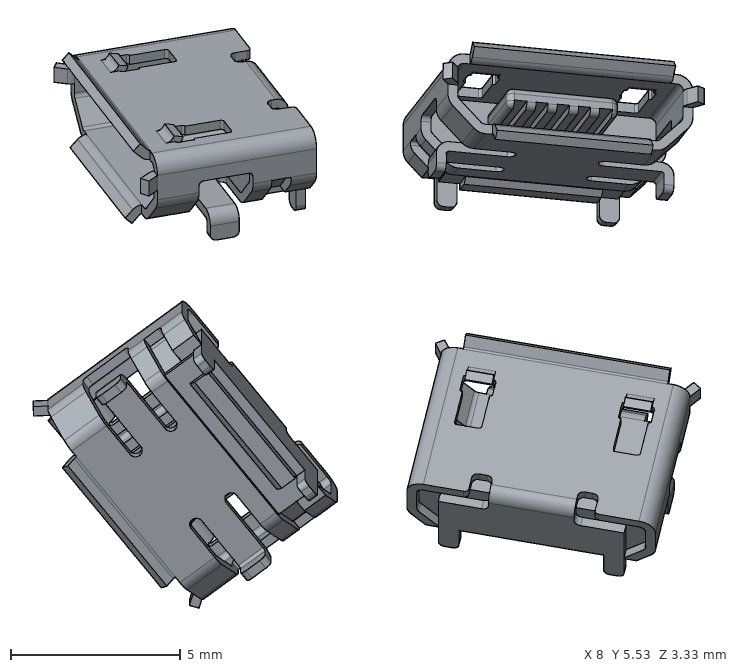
import cadquery as cq
import math


sheet = 0.3
shell_width = 7.5
shell_height = 2.45
shell_length = 5.0
bend_outer = 0.5
bend_inner = bend_outer - sheet
bend_tangent = math.tan(math.radians(22.5))
slope_side_z = 0.934
nearly_full = 0.999
half_width = shell_width / 2
roof_inside = shell_height - sheet

roof_flare_width = 6.16
roof_flare_rise = 0.28
roof_flare_start = 0.02
floor_flare_width = 4.77
floor_flare_rise = 0.267
lip_bend = 0.1
lip_angle = 45
side_flare_rise = 0.25
side_flare_height = 0.5
side_flare_top = shell_height - bend_outer
side_flare_bend = 0.02
side_flare_angle = 35.3

spring_x = 2.39
spring_width = 0.82
spring_root = 0.607
spring_radius = 0.265
spring_angle = 75
spring_slot_end = 2.70
spring_gap_start = 0.92
spring_gap_end = 1.50
spring_gap_width = 0.98
spring_gap_corner = 0.07
slot_corner = 0.1

window_start = 1.304
window_end = 3.0
window_top = 1.511
window_corner = 0.15
leg_start = 1.70
leg_end = 2.616
leg_outer_x = 3.636
leg_bend_inner = 0.1
leg_corner = 0.2
slot_end_x = 1.27
foot_z = -0.6

floor_end = 3.59
rear_wall_z = 0.36
recess_end = 4.207
recess_top = slope_side_z + bend_outer * bend_tangent
recess_corner = 0.1

neck_width = 2.58
neck_bend_inner = 0.1
neck_bend_outer = neck_bend_inner + sheet
notch_width = 0.613
notch_depth = 0.7
notch_corner = 0.18
notch_mouth_radius = 0.13
cover_width = 5.6
shoulder_z = 1.7
shoulder_fillet = 0.2
rear_leg_width = 0.62
rear_leg_corner = 0.2
cover_front = shell_length - sheet

tongue_width = 3.4
tongue_bottom = 1.242
tongue_top = 1.862
tongue_tip = 0.8
tongue_fillet = 0.2
groove_top = 1.46
contact_pitch = 0.65
contact_width = 0.28
contact_count = 4
base_width = 5.5
base_z = 0.165
foot_width = 4.2
foot_start = 4.02
foot_bottom = -0.03
foot_chamfer = 0.18


def box(x0, x1, y0, y1, z0, z1):
    """Block between the given limits."""
    size = (x1 - x0, y1 - y0, z1 - z0)
    return cq.Workplane("XY").box(*size, centered=False).translate((x0, y0, z0))


def both_sides(solid):
    """The solid together with its mirror image across the YZ plane."""
    return solid.union(solid.mirror("YZ"))


def polar(centre, radius, degrees):
    """Point at an angle on a circle."""
    angle = math.radians(degrees)
    return (centre[0] + radius * math.cos(angle), centre[1] + radius * math.sin(angle))


def shell_profile(inset, radius, start, end):
    """Prism of the shell's cross-section moved inwards, with rounded lengthwise edges."""
    half = half_width - inset
    low = inset
    high = shell_height - inset
    slope_shift = inset * bend_tangent
    side_z = slope_side_z + slope_shift
    floor_x = half - (side_z - low)
    outline = [
        (-half, high),
        (half, high),
        (half, side_z),
        (floor_x, low),
        (-floor_x, low),
        (-half, side_z),
    ]
    prism = cq.Workplane("XZ", origin=(0, start, 0)).polyline(outline).close().extrude(start - end)
    return prism.edges("|Y").fillet(radius)


def flare_section(plane, bend, angle, rise):
    """Closed section of a bent-out lip: local x points out of the mouth, local y away from the shell."""
    centre = (0, bend)
    outer = bend + sheet
    turn = math.radians(angle)
    near_end = polar(centre, bend, angle - 90)
    near_middle = polar(centre, bend, angle / 2 - 90)
    far_end = polar(centre, outer, angle - 90)
    far_middle = polar(centre, outer, angle / 2 - 90)
    tip = (near_end[0] + (rise - near_end[1]) / math.tan(turn), rise)
    far_tip = (tip[0] + sheet * math.sin(turn), tip[1] - sheet * math.cos(turn))
    section = plane.moveTo(0, 0).threePointArc(near_middle, near_end).lineTo(*tip).lineTo(*far_tip)
    return section.lineTo(*far_end).threePointArc(far_middle, (0, -sheet)).close()


def roof_flare():
    """Lip bent upwards along the roof's front edge."""
    plane = cq.Plane((-roof_flare_width / 2, roof_flare_start, shell_height), xDir=(0, -1, 0), normal=(-1, 0, 0))
    section = flare_section(cq.Workplane(plane), lip_bend, lip_angle, roof_flare_rise)
    return section.extrude(-roof_flare_width)


def floor_flare():
    """Lip bent downwards along the floor's front edge."""
    plane = cq.Plane((-floor_flare_width / 2, 0, 0), xDir=(0, -1, 0), normal=(1, 0, 0))
    section = flare_section(cq.Workplane(plane), lip_bend, lip_angle, floor_flare_rise)
    return section.extrude(floor_flare_width)


def side_flare():
    """Small ear bent outwards at the front of the side wall."""
    plane = cq.Plane((-half_width, 0, side_flare_top), xDir=(0, -1, 0), normal=(0, 0, -1))
    section = flare_section(cq.Workplane(plane), side_flare_bend, side_flare_angle, side_flare_rise)
    return section.extrude(side_flare_height)


def spring_slot():
    """Opening in the roof around one spring finger."""
    left = -spring_x - spring_width / 2
    slot = box(left, left + spring_width, spring_root, spring_slot_end, roof_inside, shell_height)
    slot = slot.edges("|Z and >Y").fillet(slot_corner)
    gap_left = -spring_x - spring_gap_width / 2
    gap_right = gap_left + spring_gap_width
    gap = box(gap_left, gap_right, spring_gap_start, spring_gap_end, roof_inside, shell_height)
    gap = gap.edges("|Z").fillet(spring_gap_corner)
    return slot.union(gap)


def spring():
    """Finger curling upwards about an axis along X above the roof."""
    centre = (spring_root, shell_height + spring_radius)
    outer = spring_radius + sheet
    end = spring_angle - 90
    middle = spring_angle / 2 - 90
    section = (
        cq.Workplane("YZ", origin=(-spring_x - spring_width / 2, 0, 0))
        .moveTo(*polar(centre, spring_radius, -90))
        .threePointArc(polar(centre, spring_radius, middle), polar(centre, spring_radius, end))
        .lineTo(*polar(centre, outer, end))
        .threePointArc(polar(centre, outer, middle), polar(centre, outer, -90))
        .close()
    )
    return section.extrude(spring_width)


def window():
    """Opening through the side, the sloping wall and the floor, with a slot on each side of the leg."""
    opening = box(-half_width, -half_width + bend_outer, window_start, window_end, 0, window_top)
    opening = opening.edges("|X and >Z").fillet(window_corner)
    for start, end in ((window_start, leg_start), (leg_end, window_end)):
        radius = (end - start) / 2
        slot = box(-half_width, -slot_end_x, start, end, 0, slope_side_z)
        opening = opening.union(slot.edges("|Z and >X").fillet(radius * nearly_full))
    above_leg = box(-half_width, -slot_end_x, leg_start, leg_end, sheet, slope_side_z)
    return opening.union(above_leg)


def leg():
    """Strip of the floor that runs outwards and bends down."""
    outline = [
        (-slot_end_x, 0),
        (-slot_end_x, sheet),
        (-leg_outer_x, sheet),
        (-leg_outer_x, foot_z),
        (-leg_outer_x + sheet, foot_z),
        (-leg_outer_x + sheet, 0),
    ]
    strip = cq.Workplane("XZ", origin=(0, leg_start, 0)).polyline(outline).close().extrude(leg_start - leg_end)
    strip = strip.edges("|Y and >Z and <X").fillet(leg_bend_inner + sheet)
    inner_bend = cq.selectors.NearestToPointSelector((-leg_outer_x + sheet, (leg_start + leg_end) / 2, 0))
    strip = strip.edges("|Y").edges(inner_bend).fillet(leg_bend_inner)
    return strip.edges("|X and <Z").fillet(leg_corner)


def rear_recess():
    """Cut-out in the sloping wall where the insulator shows."""
    recess = box(-half_width, 0, floor_end, recess_end, 0, recess_top)
    return recess.edges("|X and >Y and >Z").fillet(recess_corner)


def roof_notch():
    """Relief beside the neck of the rear cover, flared at the rear edge."""
    right = -neck_width / 2
    left = right - notch_width
    front = shell_length - notch_depth
    notch = box(left, right, front, shell_length, roof_inside, shell_height)
    notch = notch.edges("|Z and <Y").fillet(notch_corner)
    corner_x = left - notch_mouth_radius
    corner_y = shell_length - notch_mouth_radius
    mouth = box(corner_x, left, corner_y, shell_length, roof_inside, shell_height)
    rounding = cq.Workplane("XY", origin=(corner_x, corner_y, roof_inside)).circle(notch_mouth_radius).extrude(sheet)
    return notch.union(mouth.cut(rounding))


def cover_neck():
    """Bend that joins the roof to the rear cover."""
    centre = (shell_length - neck_bend_outer, shell_height - neck_bend_outer)
    section = (
        cq.Workplane("YZ", origin=(-neck_width / 2, 0, 0))
        .moveTo(centre[0], shell_height)
        .threePointArc(polar(centre, neck_bend_outer, 45), polar(centre, neck_bend_outer, 0))
        .lineTo(shell_length, shoulder_z)
        .lineTo(cover_front, shoulder_z)
        .lineTo(*polar(centre, neck_bend_inner, 0))
        .threePointArc(polar(centre, neck_bend_inner, 45), polar(centre, neck_bend_inner, 90))
        .close()
    )
    return section.extrude(neck_width)


def rear_cover():
    """Flat rear plate with a filleted neck and two legs."""
    half = cover_width / 2
    plate = box(-half, half, cover_front, shell_length, rear_wall_z, shoulder_z)
    neck_side = -neck_width / 2
    fillet_x = neck_side - shoulder_fillet
    fillet_z = shoulder_z + shoulder_fillet
    fillet_block = box(fillet_x, neck_side, cover_front, shell_length, shoulder_z, fillet_z)
    rounding = cq.Workplane("XZ", origin=(fillet_x, cover_front, fillet_z))
    rounding = rounding.circle(shoulder_fillet).extrude(-sheet)
    rear_leg = box(-half, -half + rear_leg_width, cover_front, shell_length, foot_z, shoulder_z)
    rear_leg = rear_leg.edges("|Y and <Z").fillet(rear_leg_corner)
    return plate.union(both_sides(fillet_block.cut(rounding))).union(both_sides(rear_leg))


def make_shell():
    """Tube with its openings cut and its flares, springs, legs and rear cover joined on."""
    tube = shell_profile(0, bend_outer, 0, shell_length)
    tube = tube.cut(shell_profile(sheet, bend_inner, 0, shell_length))
    tube = tube.cut(box(-half_width, half_width, floor_end, shell_length, 0, rear_wall_z))
    for opening in (window(), rear_recess(), spring_slot(), roof_notch()):
        tube = tube.cut(both_sides(opening))
    neck_start = shell_length - neck_bend_outer
    neck_space = box(-neck_width / 2, neck_width / 2, neck_start, shell_length, roof_inside, shell_height)
    tube = tube.cut(neck_space)
    for side_part in (side_flare(), spring(), leg()):
        tube = tube.union(both_sides(side_part))
    for middle_part in (roof_flare(), floor_flare(), cover_neck(), rear_cover()):
        tube = tube.union(middle_part)
    return tube


def make_tongue():
    """Rounded tongue, grooved underneath so that only the contact ribs reach its lower face."""
    half = tongue_width / 2
    tongue = box(-half, half, tongue_tip, window_end, tongue_bottom, tongue_top)
    tongue = tongue.edges("|Y").fillet(tongue_fillet)
    tongue = tongue.faces("<Y").edges().fillet(tongue_fillet * nearly_full)
    groove_half = half - tongue_fillet
    grooves = box(-groove_half, groove_half, tongue_tip, window_end, tongue_bottom, groove_top)
    for index in range(contact_count):
        centre = (index - (contact_count - 1) / 2) * contact_pitch
        left = centre - contact_width / 2
        grooves = grooves.cut(box(left, left + contact_width, tongue_tip, window_end, tongue_bottom, groove_top))
    return tongue.cut(grooves)


def make_insulator():
    """Block filling the rear of the shell, with the tongue in front and a foot below."""
    body = shell_profile(sheet, bend_inner, window_end, cover_front)
    body = body.union(box(-base_width / 2, base_width / 2, floor_end, cover_front, base_z, rear_wall_z))
    foot = box(-foot_width / 2, foot_width / 2, foot_start, cover_front, foot_bottom, base_z)
    foot = foot.edges("|X and <Y and <Z").chamfer(foot_chamfer)
    return body.union(foot).union(make_tongue()).cut(cover_neck())


shell = make_shell()
insulator = make_insulator()
result = cq.Compound.makeCompound([shell.solids().val(), insulator.solids().val()])